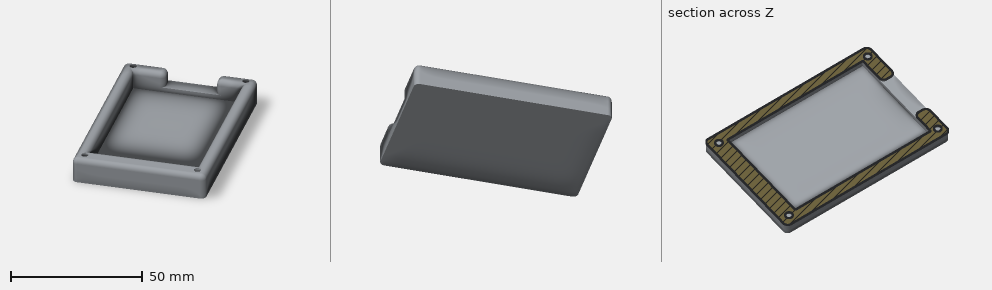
import cadquery as cq

width = 52.5
length = 78.05
height = 10.0
edge_radius = 2.0

side_wall = 4.85
front_wall = 7.7
back_wall = 6.0
floor_thickness = 2.0

notch_width = 20.1
notch_offset = 1.2
notch_floor = 4.0

hole_diameter = 2.7
hole_depth = 6.0
hole_side_inset = 4.05
hole_front_inset = 4.1
hole_back_inset = 3.05

back_face = length / 2
front_face = -length / 2
selection_margin = 0.1


def corner_box(x_min, y_min, z_min, x_size, y_size, z_size):
    """Box placed by its lowest corner."""
    box = cq.Workplane("XY").box(x_size, y_size, z_size, centered=False)
    return box.translate((x_min, y_min, z_min))


def make_block():
    block = cq.Workplane("XY").box(width, length, height, centered=(True, True, False))
    return block.edges("|Z").fillet(edge_radius)


def cut_cavity(body):
    cavity = corner_box(
        side_wall - width / 2,
        front_face + front_wall,
        floor_thickness,
        width - 2 * side_wall,
        length - front_wall - back_wall,
        height - floor_thickness,
    )
    return body.cut(cavity)


def cut_notch(body):
    """Cut the back wall and round the upright edges of the two wall ends."""
    notch_start = notch_offset - notch_width / 2
    notch = corner_box(
        notch_start,
        back_face - back_wall,
        notch_floor,
        notch_width,
        back_wall,
        height - notch_floor,
    )
    notch_edges = cq.selectors.BoxSelector(
        (notch_start - selection_margin, back_face - back_wall - selection_margin, notch_floor),
        (notch_start + notch_width + selection_margin, back_face + selection_margin, height),
    )
    return body.cut(notch).edges("|Z").edges(notch_edges).fillet(edge_radius)


def round_rim(body):
    return body.faces(">Z").edges().fillet(edge_radius)


def drill_holes(body):
    hole_x = width / 2 - hole_side_inset
    hole_rows = (front_face + hole_front_inset, back_face - hole_back_inset)
    centers = [(side * hole_x, y) for side in (-1, 1) for y in hole_rows]
    drills = (
        cq.Workplane("XY", origin=(0, 0, height - hole_depth))
        .pushPoints(centers)
        .circle(hole_diameter / 2)
        .extrude(hole_depth)
    )
    return body.cut(drills)


result = drill_holes(round_rim(cut_notch(cut_cavity(make_block()))))